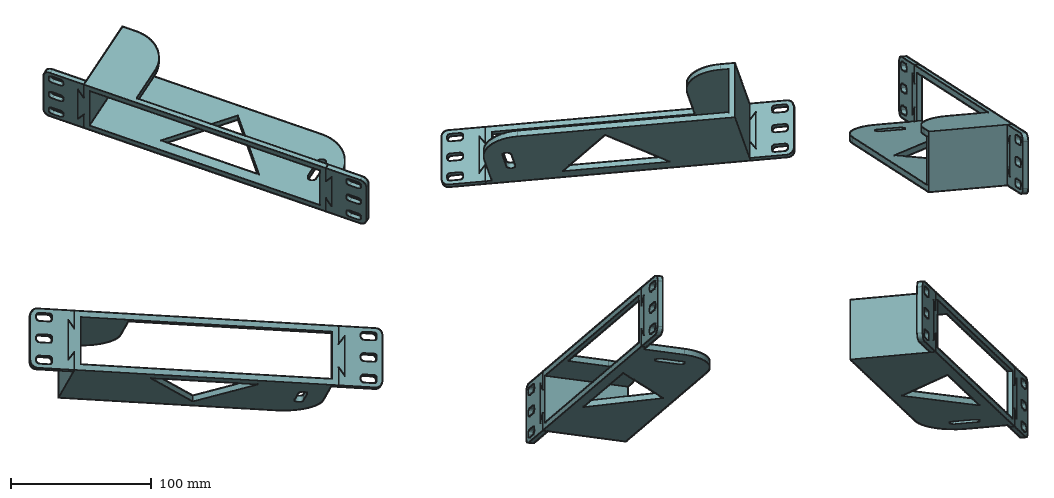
import cadquery as cq

total_length = 254.0
height = 44.5
total_depth = 63.5
plate_thickness = 4.0

bracket_length = 190.5
wall = 4.5
roof_length = 39.5
rear_corner_radius = 29.0
bracket_left = -bracket_length / 2
opening_length = bracket_length - 2 * wall
opening_height = height - 2 * wall

tongue_reach = 4.5
tongue_root_half_height = 8.6
tongue_tip_half_height = 15.0

ear_corner_radius = 5.0
ear_slot_length = 11.7
ear_slot_height = 6.0
ear_slot_corner_radius = 2.5
ear_slot_inset = 10.0
ear_slot_pitch = 16.0

triangle_base = 77.2
triangle_base_y = 8.6
triangle_tip_y = 54.4
floor_slot_length = 22.4
floor_slot_width = 6.4
floor_slot_x = 73.7
floor_slot_y = 30.5


def front_plane():
    """Work plane on the front face, at mid height; extruding by a negative length goes to +Y."""
    return cq.Workplane("XZ")


def make_tongue(side):
    """Dovetail on one end of the bracket: side is -1 for the left end, +1 for the right."""
    root_x = side * bracket_length / 2
    tip_x = root_x + side * tongue_reach
    return (
        front_plane()
        .polyline([
            (root_x, -tongue_root_half_height),
            (tip_x, -tongue_tip_half_height),
            (tip_x, tongue_tip_half_height),
            (root_x, tongue_root_half_height),
        ])
        .close()
        .extrude(-plate_thickness)
    )


def make_shelf(length, bottom_z):
    """Horizontal plate from the left end of the bracket, with its right rear corner rounded."""
    return (
        cq.Workplane("XY")
        .box(length, total_depth, wall, centered=False)
        .edges("|Z and >X and >Y")
        .fillet(rear_corner_radius)
        .translate((bracket_left, 0, bottom_z))
    )


def cut_floor(body):
    """Cut the triangular window and the slot through the floor."""
    floor_plane = cq.Workplane("XY", origin=(0, 0, -height / 2))
    triangle = (
        floor_plane
        .polyline([
            (-triangle_base / 2, triangle_base_y),
            (triangle_base / 2, triangle_base_y),
            (0, triangle_tip_y),
        ])
        .close()
        .extrude(wall)
    )
    slot = (
        floor_plane
        .center(floor_slot_x, floor_slot_y)
        .slot2D(floor_slot_length, floor_slot_width, 90)
        .extrude(wall)
    )
    return body.cut(triangle).cut(slot)


def make_bracket():
    frame = front_plane().rect(bracket_length, height).extrude(-plate_thickness)
    opening = front_plane().rect(opening_length, opening_height).extrude(-plate_thickness)
    side_wall = (
        cq.Workplane("XY")
        .box(wall, total_depth, height, centered=False)
        .translate((bracket_left, 0, -height / 2))
    )
    floor = make_shelf(bracket_length - wall, -height / 2)
    roof = make_shelf(roof_length, height / 2 - wall)
    body = frame.cut(opening).union(side_wall).union(floor).union(roof)
    for side in (-1, 1):
        body = body.union(make_tongue(side))
    return cut_floor(body)


def make_ear(side):
    """Mounting ear on one end: side is -1 for the left end, +1 for the right."""
    ear_length = (total_length - bracket_length) / 2
    ear_center_x = side * (bracket_length + ear_length) / 2
    slot_x = side * (total_length / 2 - ear_slot_inset)
    outer_edges = "|Y and >X" if side > 0 else "|Y and <X"
    plate = (
        front_plane()
        .center(ear_center_x, 0)
        .rect(ear_length, height)
        .extrude(-plate_thickness)
        .edges(outer_edges)
        .fillet(ear_corner_radius)
    )
    slots = (
        front_plane()
        .pushPoints([(slot_x, row * ear_slot_pitch) for row in (-1, 0, 1)])
        .rect(ear_slot_length, ear_slot_height)
        .extrude(-plate_thickness)
        .edges("|Y")
        .fillet(ear_slot_corner_radius)
    )
    return plate.cut(slots).cut(make_tongue(side))


bracket = make_bracket()
ears = [make_ear(side) for side in (-1, 1)]

result = cq.Compound.makeCompound([bracket.val(), *[ear.val() for ear in ears]])